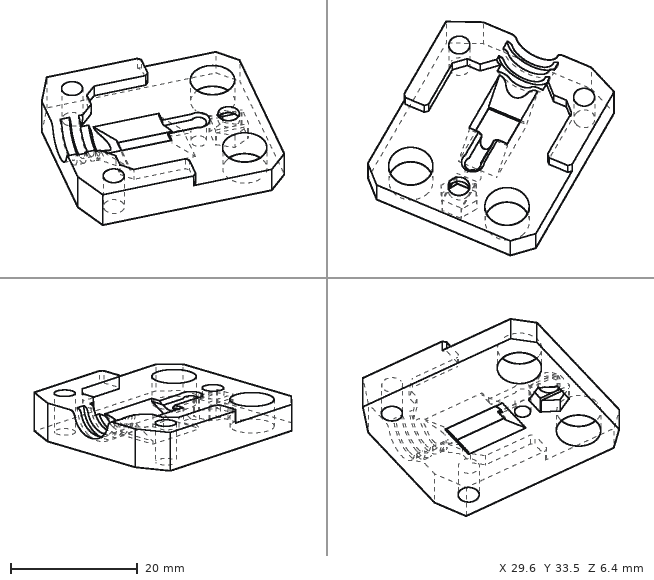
import cadquery as cq
import math

WIDTH = 29.6
LENGTH = 33.5
PAD_HEIGHT = 6.4
FLOOR_HEIGHT = 4.4
BACK_CORNER = 3.0
FRONT_CORNER_X = 5.3
FRONT_CORNER_Y = 2.48
HALF_WIDTH = WIDTH / 2
BACK = LENGTH / 2
FRONT = -BACK

PAD_BACK = 1.27
PAD_INNER_X = 10.5
PAD_CHAMFER = 0.5
PAD_STEP_X = 8.75
PAD_STEP_Y = -9.5
PAD_STEP_END_X = 6.45
RECESS_FRONT = -12.0

DOWEL_DIAMETER = 7.0
DOWEL_X = 8.48
BACK_HOLES_Y = 11.22
NUT_HOLE_DIAMETER = 3.4
NUT_ACROSS_FLATS = 5.5
NUT_POCKET_DEPTH = 2.5
NUT_SLOT_DEPTH = 3.1
CORNER_HOLE_DIAMETER = 3.3
CORNER_HOLE_X = 11.0
CORNER_HOLE_Y = -11.25

SEAT_RADIUS = 3.72
SEAT_LIP_RADIUS = 1.0
SEAT_GROOVE_RADIUS = 4.5
SEAT_BAND = 1.5
SEAT_BANDS = 4
SEAT_BACK = FRONT + SEAT_BANDS * SEAT_BAND

CHANNEL_RADIUS = 2.28
CHANNEL_AXIS_Z = 4.95
CHANNEL_LIP_RADIUS = 1.5

WINDOW_WIDTH = 6.75
WINDOW_FRONT = -10.12
WINDOW_BACK = 0.75
WINDOW_LAND = 0.5

WIRE_HOLE_DIAMETER = 2.5
WIRE_HOLE_Y = 6.23
WIRE_SINK_DIAMETER = 3.6
GROOVE_RADIUS = 1.05
GROOVE_AXIS_Z = 3.52
GROOVE_MOUTH = 3.3
GROOVE_CHAMFER_DEPTH = 0.65
WIRE_EDGE_RADIUS = 0.5


def along_y(profile, y_start, y_end):
    """Extrude an XZ profile between two Y positions."""
    return profile.extrude(-(y_end - y_start)).translate((0, y_start, 0))


def plate():
    right = [
        (HALF_WIDTH - FRONT_CORNER_X, FRONT),
        (HALF_WIDTH, FRONT + FRONT_CORNER_Y),
        (HALF_WIDTH, BACK - BACK_CORNER),
        (HALF_WIDTH - BACK_CORNER, BACK),
    ]
    left = [(-x, y) for x, y in reversed(right)]
    return cq.Workplane("XY").polyline(right + left).close().extrude(PAD_HEIGHT)


def floor_recess():
    """Everything above the main plate that is not a raised pad."""
    step_diagonal = PAD_INNER_X - PAD_STEP_X
    right = [
        (PAD_STEP_END_X - (PAD_STEP_Y - RECESS_FRONT), RECESS_FRONT),
        (PAD_STEP_END_X, PAD_STEP_Y),
        (PAD_STEP_X, PAD_STEP_Y),
        (PAD_INNER_X, PAD_STEP_Y + step_diagonal),
        (PAD_INNER_X, PAD_BACK - PAD_CHAMFER),
        (PAD_INNER_X + PAD_CHAMFER, PAD_BACK),
        (HALF_WIDTH - PAD_CHAMFER, PAD_BACK),
        (HALF_WIDTH, PAD_BACK - PAD_CHAMFER),
        (HALF_WIDTH, BACK),
    ]
    left = [(-x, y) for x, y in reversed(right)]
    outline = cq.Workplane("XY").workplane(offset=FLOOR_HEIGHT).polyline(right + left).close()
    return outline.extrude(PAD_HEIGHT - FLOOR_HEIGHT)


def lipped_round(radius, axis_z, lip_radius, top_z):
    """XZ profile of a round channel whose upper edges roll over tangent to a flat top."""
    lip_z = top_z - lip_radius
    lip_x = math.sqrt((radius + lip_radius) ** 2 - (axis_z - lip_z) ** 2)
    share = radius / (radius + lip_radius)
    tangent_x = lip_x * share
    tangent_z = axis_z + (lip_z - axis_z) * share
    end_angle = math.atan2(tangent_z - lip_z, tangent_x - lip_x)
    middle_angle = (end_angle + math.pi / 2) / 2
    middle_x = lip_x + lip_radius * math.cos(middle_angle)
    middle_z = lip_z + lip_radius * math.sin(middle_angle)
    return (
        cq.Workplane("XZ")
        .moveTo(-lip_x, top_z)
        .threePointArc((-middle_x, middle_z), (-tangent_x, tangent_z))
        .threePointArc((0, axis_z - radius), (tangent_x, tangent_z))
        .threePointArc((middle_x, middle_z), (lip_x, top_z))
        .close()
    )


def seat():
    lipped = lipped_round(SEAT_RADIUS, PAD_HEIGHT, SEAT_LIP_RADIUS, PAD_HEIGHT)
    cut = along_y(lipped, FRONT, SEAT_BACK)
    for band in range(1, SEAT_BANDS, 2):
        start = FRONT + band * SEAT_BAND
        ring = cq.Workplane("XZ").center(0, PAD_HEIGHT).circle(SEAT_GROOVE_RADIUS)
        cut = cut.union(along_y(ring, start, start + SEAT_BAND))
    return cut


def channel():
    profile = lipped_round(CHANNEL_RADIUS, CHANNEL_AXIS_Z, CHANNEL_LIP_RADIUS, FLOOR_HEIGHT)
    return along_y(profile, SEAT_BACK, WINDOW_BACK)


def window():
    lean = FLOOR_HEIGHT - WINDOW_LAND
    return (
        cq.Workplane("YZ")
        .moveTo(WINDOW_FRONT, FLOOR_HEIGHT)
        .lineTo(WINDOW_FRONT + lean, WINDOW_LAND)
        .lineTo(WINDOW_FRONT + lean, 0)
        .lineTo(WINDOW_BACK + lean, 0)
        .lineTo(WINDOW_BACK, lean)
        .lineTo(WINDOW_BACK, FLOOR_HEIGHT)
        .close()
        .extrude(WINDOW_WIDTH / 2, both=True)
    )


def wire_groove():
    """Round-bottomed groove with sloping upper edges."""
    shoulder_z = FLOOR_HEIGHT - GROOVE_CHAMFER_DEPTH
    profile = (
        cq.Workplane("XZ")
        .moveTo(-GROOVE_MOUTH / 2, FLOOR_HEIGHT)
        .lineTo(-GROOVE_RADIUS, shoulder_z)
        .lineTo(-GROOVE_RADIUS, GROOVE_AXIS_Z)
        .threePointArc((0, GROOVE_AXIS_Z - GROOVE_RADIUS), (GROOVE_RADIUS, GROOVE_AXIS_Z))
        .lineTo(GROOVE_RADIUS, shoulder_z)
        .lineTo(GROOVE_MOUTH / 2, FLOOR_HEIGHT)
        .close()
    )
    return along_y(profile, WINDOW_BACK, WIRE_HOLE_Y)


def hole(x, y, diameter):
    return cq.Workplane("XY").center(x, y).circle(diameter / 2).extrude(PAD_HEIGHT)


def wire_hole():
    sink_depth = (WIRE_SINK_DIAMETER - WIRE_HOLE_DIAMETER) / 2
    sink = (
        cq.Workplane("XY", origin=(0, WIRE_HOLE_Y, FLOOR_HEIGHT))
        .circle(WIRE_SINK_DIAMETER / 2)
        .workplane(offset=-sink_depth)
        .circle(WIRE_HOLE_DIAMETER / 2)
        .loft()
    )
    return hole(0, WIRE_HOLE_Y, WIRE_HOLE_DIAMETER).union(sink)


def nut_hole():
    """Screw hole with a hexagonal nut pocket in the underside and a slot across its ceiling."""
    across_corners = NUT_ACROSS_FLATS / math.cos(math.pi / 6)
    base = cq.Workplane("XY").center(0, BACK_HOLES_Y)
    pocket = base.polygon(6, across_corners).extrude(NUT_POCKET_DEPTH)
    slot = base.rect(NUT_HOLE_DIAMETER, NUT_ACROSS_FLATS).extrude(NUT_SLOT_DEPTH)
    return hole(0, BACK_HOLES_Y, NUT_HOLE_DIAMETER).union(pocket).union(slot)


result = plate().cut(floor_recess()).cut(seat()).cut(channel()).cut(window())
result = result.cut(wire_groove()).cut(wire_hole()).cut(nut_hole())

edge_front = WIRE_HOLE_Y - WIRE_HOLE_DIAMETER / 2
groove_bottom = GROOVE_AXIS_Z - GROOVE_RADIUS
groove_end = result.edges(cq.selectors.NearestToPointSelector((0, edge_front, groove_bottom)))
result = groove_end.fillet(WIRE_EDGE_RADIUS)

for side in (-1, 1):
    result = result.cut(hole(side * DOWEL_X, BACK_HOLES_Y, DOWEL_DIAMETER))
    result = result.cut(hole(side * CORNER_HOLE_X, CORNER_HOLE_Y, CORNER_HOLE_DIAMETER))